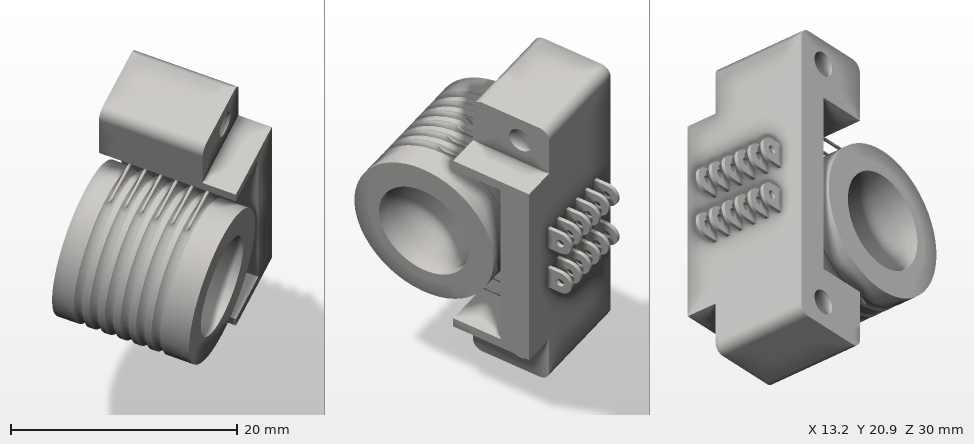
import cadquery as cq
import math


length = 13.2
bracket_height = 30.0
back_y = 11.1
plate_thickness = 3.0
arm_depth = 8.0
arm_height = 6.0
corner_radius = 1.0
plate_front_y = back_y - plate_thickness
arm_centre_y = back_y - arm_depth / 2
arm_inner_z = bracket_height / 2 - arm_height

step_x = 10.0
ledge_thickness = 1.0
ledge_z = arm_inner_z + ledge_thickness

mount_hole_diameter = 2.4
mount_hole_y = plate_front_y
mount_hole_z = 12.5

tube_outer_radius = 7.35
tube_inner_radius = 4.75

station_count = 6
station_pitch = 1.5
first_groove_x = 2.55
first_wire_x = 2.5

groove_radius = 0.55
groove_depth = 0.27
groove_centre_radius = tube_outer_radius - groove_depth + groove_radius

wire_radius = 0.15
wire_z = 7.17
wire_embed = 0.3
wire_bend_y = 0.15
wire_bend_radius = 0.42
tip_length = 0.5
tip_angle = 30.0

tag_length = 2.45
tag_width = 2.35
tag_thickness = 0.35
tag_hole_diameter = 0.8
tag_spacing = 4.7
tag_radius = tag_width / 2


def stations(first_x):
    return [first_x + i * station_pitch for i in range(station_count)]


def make_bracket():
    body = (
        cq.Workplane("YZ")
        .rect(arm_depth, bracket_height)
        .extrude(length)
        .edges("|X")
        .fillet(corner_radius)
        .translate((0, arm_centre_y, 0))
    )
    opening = (
        cq.Workplane("YZ")
        .center(plate_front_y - arm_depth / 2, 0)
        .rect(arm_depth, 2 * arm_inner_z)
        .extrude(length)
    )
    mount_holes = (
        cq.Workplane("YZ")
        .pushPoints([(mount_hole_y, mount_hole_z), (mount_hole_y, -mount_hole_z)])
        .circle(mount_hole_diameter / 2)
        .extrude(length)
    )
    body = body.cut(opening).cut(mount_holes)
    step_height = bracket_height / 2 - ledge_z
    for side in (1, -1):
        step = cq.Workplane("XY").box(length - step_x, arm_depth, step_height).translate(
            ((step_x + length) / 2, arm_centre_y, side * (ledge_z + step_height / 2))
        )
        body = body.cut(step)
    return body


def make_groove(x):
    """Ring-shaped cutter of round section around the tube."""
    profile = cq.Workplane("XZ").center(x, groove_centre_radius).circle(groove_radius)
    return profile.revolve(360, (0, -groove_centre_radius), (1, -groove_centre_radius))


def make_tube():
    tube = cq.Workplane("YZ").circle(tube_outer_radius).circle(tube_inner_radius).extrude(length)
    for x in stations(first_groove_x):
        tube = tube.cut(make_groove(x))
    return tube


def make_wire(x):
    """Upper wire: straight from inside the plate, then a short tip bent away from the axis."""
    angle = math.radians(tip_angle)
    bend_step = (-wire_bend_radius * math.sin(angle), wire_bend_radius * (1 - math.cos(angle)))
    path = (
        cq.Workplane("YZ", origin=(x, 0, 0))
        .moveTo(plate_front_y + wire_embed, wire_z)
        .lineTo(wire_bend_y, wire_z)
        .tangentArcPoint(bend_step)
        .line(-tip_length * math.cos(angle), tip_length * math.sin(angle))
    )
    start = cq.Workplane("XZ", origin=(x, plate_front_y + wire_embed, wire_z))
    return start.circle(wire_radius).sweep(path)


def make_tag(x, z):
    tag_end_y = back_y + tag_length
    hole_y = tag_end_y - tag_radius
    return (
        cq.Workplane("YZ", origin=(x - tag_thickness / 2, 0, z))
        .moveTo(back_y, -tag_radius)
        .lineTo(hole_y, -tag_radius)
        .threePointArc((tag_end_y, 0), (hole_y, tag_radius))
        .lineTo(back_y, tag_radius)
        .close()
        .moveTo(hole_y, 0)
        .circle(tag_hole_diameter / 2)
        .extrude(tag_thickness)
    )


result = make_bracket().union(make_tube())
for station_x in stations(first_wire_x):
    upper_wire = make_wire(station_x)
    result = result.union(upper_wire).union(upper_wire.mirror("XY"))
    for tag_z in (tag_spacing / 2, -tag_spacing / 2):
        result = result.union(make_tag(station_x, tag_z))